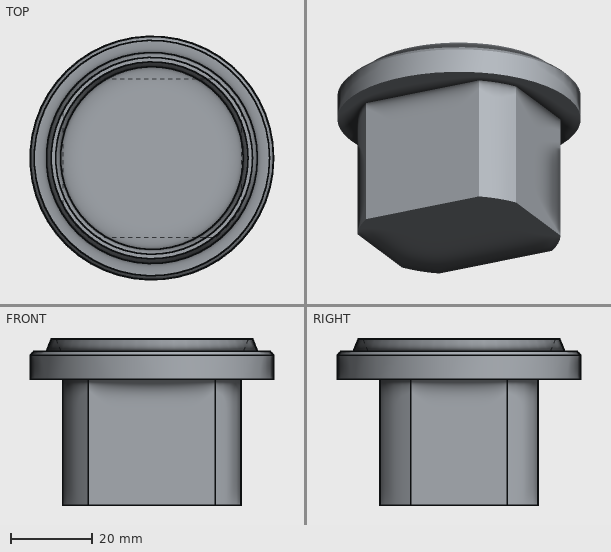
import cadquery as cq

body_diameter = 50.0
body_width_x = 44.0
body_width_y = 39.0
body_height = 31.0

flange_diameter = 60.0
flange_thickness = 7.0
flange_chamfer = 1.0

rim_base_diameter = 52.0
rim_top_diameter = 49.6
rim_height = 3.0

recess_top_diameter = 47.4
recess_floor_diameter = 45.0
recess_depth = 3.0

flange_top = body_height + flange_thickness
overall_height = flange_top + rim_height


def make_body():
    cylinder = cq.Workplane("XY").circle(body_diameter / 2).extrude(body_height)
    flats = cq.Workplane("XY").rect(body_width_x, body_width_y).extrude(body_height)
    return cylinder.intersect(flats)


def make_head():
    """Revolve the half section of the flange, rim and recess about Z."""
    flange_radius = flange_diameter / 2
    section = [
        (0, body_height),
        (flange_radius, body_height),
        (flange_radius, flange_top - flange_chamfer),
        (flange_radius - flange_chamfer, flange_top),
        (rim_base_diameter / 2, flange_top),
        (rim_top_diameter / 2, overall_height),
        (recess_top_diameter / 2, overall_height),
        (recess_floor_diameter / 2, overall_height - recess_depth),
        (0, overall_height - recess_depth),
    ]
    return cq.Workplane("XZ").polyline(section).close().revolve(360, (0, 0), (0, 1))


result = make_body().union(make_head())